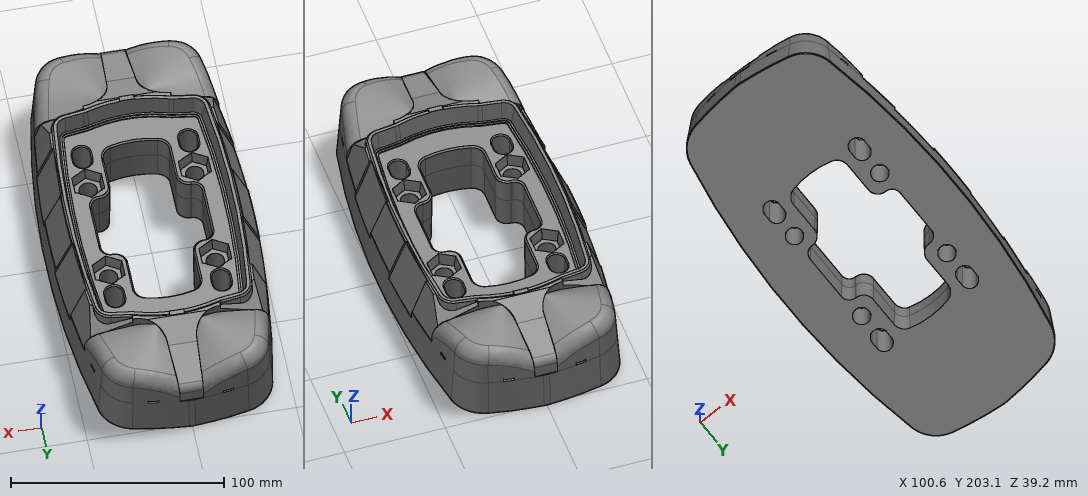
import cadquery as cq
import math

LENGTH = 203.09
WIDTH = 100.6
HEIGHT = 39.24
TICK_HEIGHT = 0.35
RIM_Z = HEIGHT - TICK_HEIGHT

OVERLAP = 1.0
PLATE_THICKNESS = 1.0

END_CORNER_X = 39.3
END_CORNER_Y = 95.1
END_FLAT_HALF = 1.5
END_BOW = 1.0
CORNER_RADIUS = 18.0
BODY_DRAFT = 4.0
FOOT_HEIGHT = 0.9
FOOT_CHAMFER = 0.4
BASE_Z = 19.6

COLLAR_Y = 62.4
SIDE_LEAN = 0.40
SIDE_BOW_BASE = 4.6
SIDE_BOW_RIM = 3.0
CORNER_FACE = [(20.0, COLLAR_Y, 36.5), (41.3, COLLAR_Y, 29.0), (39.4, 50.0, 38.2)]

RIDGE_PROFILE = [(64.0, 38.6), (77.3, 34.0), (99.2, 28.0)]
RIDGE_END_HALF = 5.5
RIDGE_NECK_HALF = 7.0
RIDGE_FLARE_RADIUS = 14.0
RIDGE_FLARE_HALF = RIDGE_NECK_HALF + RIDGE_FLARE_RADIUS
RIDGE_NOSE_RADIUS = 4.0

LOBE_CENTER = (24.5, 80.7)
LOBE_CREST_Z = 37.6
LOBE_APEX_DISTANCE = 20.0
LOBE_HALF_ANGLE = 61.0
LOBE_CONE_LENGTH = 50.0
LOBE_EDGE_RADIUS = 7.0
LOBE_MARGIN = 6.0

RIM_HALF_WIDTH = 41.0
RIM_APEX_Y = 64.0
RIM_SHOULDER = (21.0, 60.7)
RIM_SHOULDER_RADIUS = 10.0
RIM_CORNER = (37.0, 58.5)
RIM_CORNER_RADIUS = 8.0
RIM_CHAMFER = 0.8
RIM_WALL = 2.4
RIM_DRAFT = 10.0
FLOOR_Z = 28.4
CAVITY_DRAFT = 9.0
LEDGE_COUNT = 2
LEDGE_HEIGHT = 0.6
LEDGE_WIDTH = 0.95
TICK_HALF_WIDTH = 3.5
TICK_LENGTH = 2.6

PANEL_Y_MIN = 13.8
PANEL_Y_MAX = 41.4
PANEL_Z_MIN = 16.0
PANEL_RECESS = 1.0

VENT_HEIGHT = 1.1
VENT_DEPTH = 2.0
END_VENT_X = 17.9
END_VENT_WIDTH = 5.0
END_VENT_WALL_Y = 98.4
SIDE_VENT_Y = 73.7
SIDE_VENT_WIDTH = 4.2
SIDE_VENT_WALL_X = 42.3

OPENING_HALF_WIDE = 26.6
OPENING_SHELF_Y = 16.3
OPENING_HALF_NARROW = 15.8
OPENING_SIDE_Y = 42.5
OPENING_APEX_Y = 45.3
SHELF_RADIUS = 4.5
BOSS_RADIUS = 6.0
OPENING_END_RADIUS = 6.0
OPENING_CHAMFER = 0.8
OPENING_PARTING_Z = 16.0
OPENING_DRAFT = 1.0

FIXING_X = 25.5
HOLE_Y = 25.5
HOLE_DIAMETER = 8.62
HEX_TOP_FLATS = 14.2
HEX_FLOOR_FLATS = 12.4
HEX_DEPTH = 6.0
SLOT_Y = 40.8
SLOT_LENGTH = 12.2
SLOT_CHAMFER = 0.6


def four_way(solid):
    """Union of a solid with its mirror images across the XZ and YZ planes."""
    pair = solid.union(solid.mirror("YZ"))
    return pair.union(pair.mirror("XZ"))


def round_uprights(plate, x, y, radius):
    """Fillet the four upright edges at (+-x, +-y)."""
    z_mid = plate.val().Center().z
    for x_side in (-x, x):
        for y_side in (-y, y):
            corner = cq.selectors.NearestToPointSelector((x_side, y_side, z_mid))
            plate = plate.edges("|Z").edges(corner).fillet(radius)
    return plate


def body_outline():
    """Bowed rectangle with large rounded corners, as a thin plate."""
    x, y = END_CORNER_X, END_CORNER_Y
    flat = END_FLAT_HALF
    y_end = LENGTH / 2
    mid_x = (flat + x) / 2
    mid_y = (y_end + y) / 2 + END_BOW
    plate = (
        cq.Workplane("XY")
        .moveTo(-x, -y)
        .threePointArc((-mid_x, -mid_y), (-flat, -y_end))
        .lineTo(flat, -y_end)
        .threePointArc((mid_x, -mid_y), (x, -y))
        .threePointArc((WIDTH / 2, 0), (x, y))
        .threePointArc((mid_x, mid_y), (flat, y_end))
        .lineTo(-flat, y_end)
        .threePointArc((-mid_x, mid_y), (-x, y))
        .threePointArc((-WIDTH / 2, 0), (-x, -y))
        .close()
        .extrude(PLATE_THICKNESS)
    )
    return round_uprights(plate, x, y, CORNER_RADIUS)


def drafted_body(height):
    """Body outline rising from the foot band with drafted walls."""
    outline = body_outline().faces("<Z").wires().toPending()
    walls = outline.extrude(height - FOOT_HEIGHT, taper=BODY_DRAFT, combine=False)
    return walls.translate((0, 0, FOOT_HEIGHT))


def foot_band():
    """Upright band under the drafted walls, chamfered underneath."""
    outline = body_outline().faces("<Z").wires().toPending()
    band = outline.extrude(FOOT_HEIGHT, combine=False)
    return band.faces("<Z").edges().chamfer(FOOT_CHAMFER)


def rim_outline():
    """Rounded rim outline with softly bulging ends, as a closed wire."""
    sx, sy = RIM_SHOULDER
    cx, cy = RIM_CORNER
    plate = (
        cq.Workplane("XY")
        .moveTo(-sx, sy)
        .threePointArc((0, RIM_APEX_Y), (sx, sy))
        .lineTo(cx, cy)
        .threePointArc((RIM_HALF_WIDTH, 0), (cx, -cy))
        .lineTo(sx, -sy)
        .threePointArc((0, -RIM_APEX_Y), (-sx, -sy))
        .lineTo(-cx, -cy)
        .threePointArc((-RIM_HALF_WIDTH, 0), (-cx, cy))
        .close()
        .extrude(PLATE_THICKNESS)
    )
    for x, y, radius in [(cx, cy, RIM_CORNER_RADIUS), (sx, sy, RIM_SHOULDER_RADIUS)]:
        plate = round_uprights(plate, x, y, radius)
    return plate.faces("<Z").wires().val()


def rim_section(z, inset):
    """Rim outline at height z, moved inwards by the inset."""
    outline = rim_outline()
    if inset:
        outline = outline.offset2D(-inset)[0]
    return outline.moved(cq.Location(cq.Vector(0, 0, z)))


def rim_block(z_bottom, inset_bottom, z_top, inset_top):
    """Block following the rim outline, with evenly drafted walls."""
    sections = [rim_section(z_bottom, inset_bottom), rim_section(z_top, inset_top)]
    return cq.Workplane(cq.Solid.makeLoft(sections, True))


def bowed_section(z, half_width):
    """Closed section with bowed long sides, lying at height z."""
    rise = (z - BASE_Z) / (RIM_Z - BASE_Z)
    end_half = half_width - SIDE_BOW_BASE - (SIDE_BOW_RIM - SIDE_BOW_BASE) * rise
    return (
        cq.Workplane("XY", origin=(0, 0, z))
        .moveTo(-end_half, -COLLAR_Y)
        .lineTo(end_half, -COLLAR_Y)
        .threePointArc((half_width, 0), (end_half, COLLAR_Y))
        .lineTo(-end_half, COLLAR_Y)
        .threePointArc((-half_width, 0), (-end_half, -COLLAR_Y))
        .close()
        .val()
    )


def leaning_block(z_min, z_max, inset):
    """Block whose bowed sides follow the collar's lean, moved inwards by the inset."""
    half_bottom = RIM_HALF_WIDTH + SIDE_LEAN * (RIM_Z - z_min) - inset
    half_top = RIM_HALF_WIDTH + SIDE_LEAN * (RIM_Z - z_max) - inset
    bottom = bowed_section(z_min, half_bottom)
    top = bowed_section(z_max, half_top)
    return cq.Workplane(cq.Solid.makeLoft([bottom, top], True))


def above_corner_face():
    """Block lying above the slanted face at the +X +Y corner of the collar."""
    first, second, third = (cq.Vector(*point) for point in CORNER_FACE)
    normal = (second - first).cross(third - first)
    if normal.z < 0:
        normal = normal * -1
    plane = cq.Plane(origin=first, xDir=second - first, normal=normal)
    return cq.Workplane(plane).rect(2 * WIDTH, 2 * WIDTH).extrude(HEIGHT)


def collar():
    """Middle of the upper body, with leaning sides and slanted corners."""
    block = leaning_block(BASE_Z - OVERLAP, RIM_Z - RIM_CHAMFER, 0)
    quarter = cq.Workplane("XY").box(WIDTH, LENGTH, 2 * HEIGHT, centered=(False, False, True))
    return block.cut(four_way(quarter.intersect(above_corner_face())))


def rim():
    """Raised rim with drafted flanks and a chamfered outer edge."""
    shoulder_z = RIM_Z - RIM_CHAMFER
    foot_spread = (shoulder_z - BASE_Z) * math.tan(math.radians(RIM_DRAFT))
    flank = rim_block(BASE_Z, -foot_spread, shoulder_z, 0)
    crown = rim_block(shoulder_z, 0, RIM_Z, RIM_CHAMFER)
    return flank.union(crown)


def ridge_plan():
    """Upright block over the ridge footprint, flaring in two arcs towards the rim."""
    y_out = LENGTH / 2
    arc_mid = RIDGE_FLARE_RADIUS * (1 - math.sqrt(0.5))
    flare_start_y = COLLAR_Y + RIDGE_FLARE_RADIUS
    half_plan = (
        cq.Workplane("XY")
        .lineTo(0, y_out)
        .lineTo(RIDGE_END_HALF, y_out)
        .lineTo(RIDGE_NECK_HALF, flare_start_y)
        .threePointArc((RIDGE_NECK_HALF + arc_mid, COLLAR_Y + arc_mid), (RIDGE_FLARE_HALF, COLLAR_Y))
        .lineTo(RIDGE_FLARE_HALF, 0)
        .close()
        .extrude(HEIGHT)
    )
    return half_plan.union(half_plan.mirror("YZ"))


def ridge():
    """Sloping valley floor from the rim down to the +Y end."""
    (y_rim, z_rim), (y_kink, z_kink), (y_end, z_end) = RIDGE_PROFILE
    y_foot = y_end + (z_end - BASE_Z) * math.tan(math.radians(BODY_DRAFT))
    slope = (
        cq.Workplane("YZ", origin=(-RIDGE_FLARE_HALF, 0, 0))
        .polyline([
            (0, BASE_Z - OVERLAP), (0, z_rim), (y_rim, z_rim), (y_kink, z_kink),
            (y_end, z_end), (y_foot, BASE_Z - OVERLAP),
        ])
        .close()
        .extrude(2 * RIDGE_FLARE_HALF)
    )
    nose = cq.selectors.NearestToPointSelector((0, y_end, z_end))
    slope = slope.edges(nose).fillet(RIDGE_NOSE_RADIUS)
    return slope.intersect(ridge_plan())


def lobe(body):
    """Domed lobe in the +X +Y corner with a rounded outer edge."""
    apex_shift = LOBE_APEX_DISTANCE * math.sqrt(0.5)
    apex = (LOBE_CENTER[0] - apex_shift, LOBE_CENTER[1] - apex_shift, LOBE_CREST_Z)
    fall = math.radians(LOBE_HALF_ANGLE)
    outward = math.cos(fall) * math.sqrt(0.5)
    axis = (outward, outward, -math.sin(fall))
    plane = cq.Plane(origin=apex, xDir=axis, normal=(1, -1, 0))
    cone_radius = LOBE_CONE_LENGTH * math.tan(fall)
    cone = (
        cq.Workplane(plane)
        .lineTo(LOBE_CONE_LENGTH, 0)
        .lineTo(LOBE_CONE_LENGTH, -cone_radius)
        .close()
        .revolve(360, (0, 0, 0), (1, 0, 0))
    )
    blank_corner = (-LOBE_MARGIN, COLLAR_Y - LOBE_MARGIN, BASE_Z - LOBE_MARGIN)
    blank = cq.Workplane("XY", origin=blank_corner).box(
        WIDTH, LENGTH, HEIGHT, centered=(False, False, False)
    )
    trim = cq.Workplane("XY", origin=(0, COLLAR_Y, BASE_Z - OVERLAP)).box(
        WIDTH, LENGTH, HEIGHT, centered=(False, False, False)
    )
    dome = cone.intersect(body).intersect(blank)
    outer_corner = cq.selectors.NearestToPointSelector((END_CORNER_X, END_CORNER_Y, LOBE_CREST_Z))
    return dome.edges(outer_corner).fillet(LOBE_EDGE_RADIUS).intersect(trim).cut(ridge_plan())


def outer_form():
    """Base, collar, rim, ridges and lobes joined into the solid outer shape."""
    body = drafted_body(HEIGHT)
    base = drafted_body(BASE_Z).union(foot_band())
    half_ridge = ridge()
    upper = collar().union(rim()).union(half_ridge).union(half_ridge.mirror("XZ")).intersect(body)
    return base.union(upper).union(four_way(lobe(body)))


def cavity():
    """Drafted recess inside the rim, stepping in over small ledges to its floor."""
    wall_z = FLOOR_Z + LEDGE_COUNT * LEDGE_HEIGHT
    wall_inset = RIM_WALL + (RIM_Z - wall_z) * math.tan(math.radians(CAVITY_DRAFT))
    recess = rim_block(wall_z, wall_inset, RIM_Z, RIM_WALL)
    headroom = rim_block(RIM_Z, RIM_WALL, HEIGHT + OVERLAP, RIM_WALL)
    recess = recess.union(headroom)
    for step in range(1, LEDGE_COUNT + 1):
        inset = wall_inset + step * LEDGE_WIDTH
        top_z = wall_z - (step - 1) * LEDGE_HEIGHT
        recess = recess.union(rim_block(top_z - LEDGE_HEIGHT, inset, top_z, inset))
    return recess


def panel_recess():
    """Shallow recess in the +X side at the +Y end."""
    length = PANEL_Y_MAX - PANEL_Y_MIN
    height = RIM_Z - RIM_CHAMFER - PANEL_Z_MIN
    outside = cq.Workplane("XY", origin=(0, PANEL_Y_MIN, PANEL_Z_MIN)).box(
        WIDTH, length, height, centered=(False, False, False)
    )
    return outside.cut(leaning_block(0, RIM_Z + OVERLAP, PANEL_RECESS))


def vents():
    """Shallow slits into the end wall and the side wall of the +X +Y lobe."""
    z_mid = BASE_Z + VENT_HEIGHT / 2
    end_slit = cq.Workplane("XY", origin=(END_VENT_X, END_VENT_WALL_Y, z_mid)).box(
        END_VENT_WIDTH, 2 * VENT_DEPTH, VENT_HEIGHT
    )
    side_slit = cq.Workplane("XY", origin=(SIDE_VENT_WALL_X, SIDE_VENT_Y, z_mid)).box(
        2 * VENT_DEPTH, SIDE_VENT_WIDTH, VENT_HEIGHT
    )
    return end_slit.union(side_slit)


def opening():
    """Stepped through opening, narrower at both ends, with rounded corners."""
    wide, narrow = OPENING_HALF_WIDE, OPENING_HALF_NARROW
    shelf, side = OPENING_SHELF_Y, OPENING_SIDE_Y
    cut = (
        cq.Workplane("XY")
        .moveTo(-wide, -shelf)
        .lineTo(-narrow, -shelf)
        .lineTo(-narrow, -side)
        .threePointArc((0, -OPENING_APEX_Y), (narrow, -side))
        .lineTo(narrow, -shelf)
        .lineTo(wide, -shelf)
        .lineTo(wide, shelf)
        .lineTo(narrow, shelf)
        .lineTo(narrow, side)
        .threePointArc((0, OPENING_APEX_Y), (-narrow, side))
        .lineTo(-narrow, shelf)
        .lineTo(-wide, shelf)
        .close()
        .extrude(FLOOR_Z)
    )
    cut = round_uprights(cut, wide, shelf, SHELF_RADIUS)
    cut = round_uprights(cut, narrow, shelf, BOSS_RADIUS)
    cut = round_uprights(cut, narrow, side, OPENING_END_RADIUS)
    mouth_edge = cut.faces(">Z").wires().toPending().offset2D(OPENING_CHAMFER)
    mouth = mouth_edge.extrude(-OPENING_CHAMFER, taper=45, combine=False)
    lower = (
        cut.faces("<Z")
        .wires()
        .toPending()
        .extrude(OPENING_PARTING_Z, taper=-OPENING_DRAFT, combine=False)
        .mirror("XY")
        .translate((0, 0, OPENING_PARTING_Z))
    )
    return cut.union(mouth).union(lower)


def fixing():
    """Hex pocket with its hole and the neighbouring slot."""
    hole = cq.Workplane("XY").center(FIXING_X, HOLE_Y).circle(HOLE_DIAMETER / 2).extrude(FLOOR_Z)
    across_corners = HEX_TOP_FLATS / math.cos(math.pi / 6)
    hex_draft = math.degrees(math.atan((HEX_TOP_FLATS - HEX_FLOOR_FLATS) / 2 / HEX_DEPTH))
    pocket = (
        cq.Workplane("XY", origin=(FIXING_X, HOLE_Y, FLOOR_Z))
        .transformed(rotate=(0, 0, 90))
        .polygon(6, across_corners)
        .extrude(-HEX_DEPTH, taper=hex_draft)
    )
    slot = (
        cq.Workplane("XY", origin=(FIXING_X, SLOT_Y, 0))
        .slot2D(SLOT_LENGTH, HOLE_DIAMETER, 90)
        .extrude(FLOOR_Z)
    )
    slot_mouth = (
        cq.Workplane("XY", origin=(FIXING_X, SLOT_Y, FLOOR_Z))
        .slot2D(SLOT_LENGTH + 2 * SLOT_CHAMFER, HOLE_DIAMETER + 2 * SLOT_CHAMFER, 90)
        .extrude(-SLOT_CHAMFER, taper=45)
    )
    return hole.union(pocket).union(slot).union(slot_mouth)


def ticks():
    """Small raised marks on the rim at both ends of the long axis."""
    y_mid = RIM_APEX_Y - TICK_LENGTH / 2
    mark = cq.Workplane("XY", origin=(0, y_mid, RIM_Z)).box(
        2 * TICK_HALF_WIDTH, TICK_LENGTH, 2 * TICK_HEIGHT
    )
    return mark.union(mark.mirror("XZ"))


result = (
    outer_form()
    .union(ticks())
    .cut(cavity())
    .cut(four_way(panel_recess()))
    .cut(four_way(vents()))
    .cut(opening())
    .cut(four_way(fixing()))
)